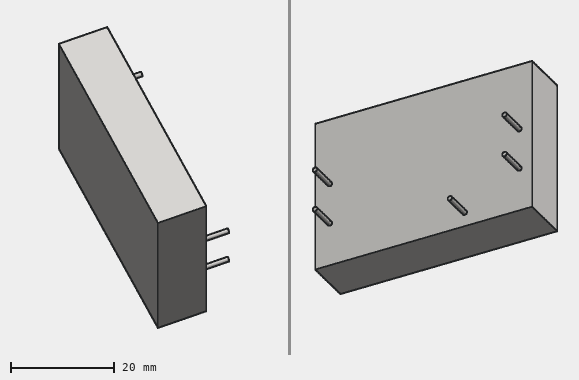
import cadquery as cq

housing_width = 47.7
housing_height = 33.2
overall_depth = 16.2
pin_length = 6.0
housing_depth = overall_depth - pin_length

pin_diameter = 1.0
left_column_x = -21.1
right_column_x = 20.6
upper_row_z = 1.85
lower_row_z = -7.1
offset_pin_x = -9.05
offset_pin_z = -13.55

pin_positions = [(x, z) for x in (left_column_x, right_column_x) for z in (upper_row_z, lower_row_z)]
pin_positions.append((offset_pin_x, offset_pin_z))


def make_housing():
    """Solid rectangular block from Y = 0 back to the pin face."""
    return cq.Workplane("XY").box(
        housing_width, housing_depth, housing_height, centered=(True, False, True)
    )


def make_pin(x, z):
    """Round pin that starts on the housing's back face and points toward +Y."""
    base = cq.Vector(x, housing_depth, z)
    return cq.Solid.makeCylinder(pin_diameter / 2, pin_length, base, cq.Vector(0, 1, 0))


housing = make_housing()
pins = [make_pin(x, z) for x, z in pin_positions]

result = cq.Compound.makeCompound([housing.val(), *pins])